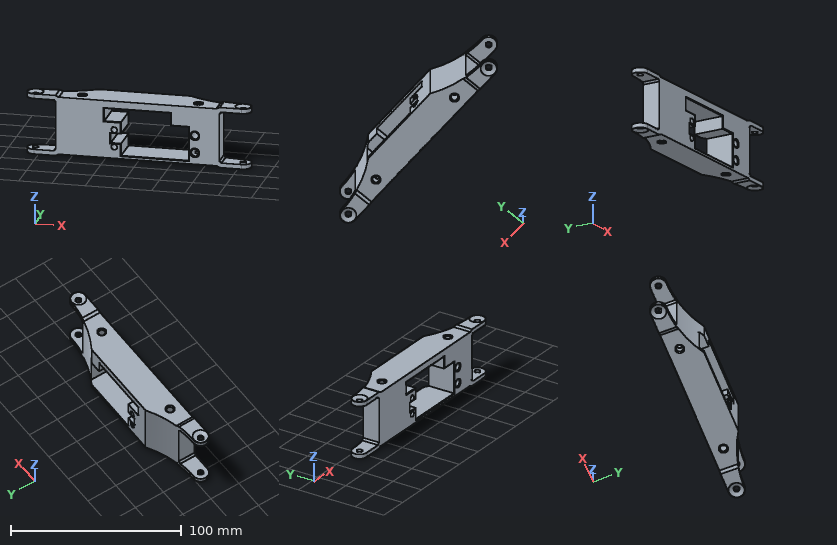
import cadquery as cq
import math

length = 135.0
depth = 20.0
height = 37.3
lug_radius = 5.0
lug_x = length / 2 - lug_radius
back_flat_half_length = 27.5

body_height = 35.4
lug_thickness = 3.0
gap_half_length = 49.3
gap_chamfer = 1.2
ramp_start = 49.4
ramp_end = 47.4

lug_hole_diameter = 3.5
lug_sink_diameter = 9.5
lug_sink_depth = 1.4

window_left = -20.1
window_right = 30.6
window_top = 12.8
window_bottom = -15.7
window_step_z = 5.0
window_upper_right = 20.0
tab_edge_x = -10.0
notch_left = -16.2
notch_top = -2.3
notch_bottom = -8.2
window_chamfer = 0.4

hole_rows = (0.0, -10.5)
through_hole_x = -14.0
through_hole_diameter = 3.5
blind_hole_x = 34.4
blind_hole_diameter = 4.5
blind_hole_depth = 10.8

edge_hole_x = 35.0
edge_hole_y = 7.5
edge_hole_diameter = 4.0
edge_hole_depth = 8.1

hole_mouth_diameter = 5.5


def plan_solid():
    """Full-height plan outline: rounded lugs and concave shoulders tangent to the lugs."""
    lug_top = 2 * lug_radius
    run = lug_x - back_flat_half_length
    rise = depth - lug_top
    shoulder_radius = (run**2 + rise**2) / (2 * rise)
    half_angle = math.asin(run / shoulder_radius) / 2
    mid_x = lug_x - shoulder_radius * math.sin(half_angle)
    mid_y = lug_top + shoulder_radius * (1 - math.cos(half_angle))
    return (
        cq.Workplane("XY")
        .workplane(offset=-height / 2)
        .moveTo(-lug_x, 0)
        .lineTo(lug_x, 0)
        .threePointArc((length / 2, lug_radius), (lug_x, lug_top))
        .threePointArc((mid_x, mid_y), (back_flat_half_length, depth))
        .lineTo(-back_flat_half_length, depth)
        .threePointArc((-mid_x, mid_y), (-lug_x, lug_top))
        .threePointArc((-length / 2, lug_radius), (-lug_x, 0))
        .close()
        .extrude(height)
    )


def along_y(points):
    """Prism from an XZ outline, running back from the front face through the full depth."""
    return cq.Workplane("XZ").polyline(points).close().extrude(-depth)


def end_gap(side):
    """Space between the two lugs at one end, with chamfered inner corners."""
    half_gap = height / 2 - lug_thickness
    inner = gap_half_length
    points = [
        (length, half_gap),
        (inner + gap_chamfer, half_gap),
        (inner, half_gap - gap_chamfer),
        (inner, gap_chamfer - half_gap),
        (inner + gap_chamfer, -half_gap),
        (length, -half_gap),
    ]
    return along_y([(side * x, z) for x, z in points])


def face_relief(side):
    """Shallow cut lowering the body face between the ramps (side: +1 upper, -1 lower)."""
    outer = side * height / 2
    inner = side * body_height / 2
    return along_y([(-ramp_start, outer), (-ramp_end, inner), (ramp_end, inner), (ramp_start, outer)])


def window():
    """Stepped opening with a notch, chamfered where it meets the front face."""
    opening = along_y([
        (window_left, window_top),
        (window_upper_right, window_top),
        (window_upper_right, window_step_z),
        (window_right, window_step_z),
        (window_right, window_bottom),
        (tab_edge_x, window_bottom),
        (tab_edge_x, notch_bottom),
        (notch_left, notch_bottom),
        (notch_left, notch_top),
        (tab_edge_x, notch_top),
        (tab_edge_x, window_step_z),
        (window_left, window_step_z),
    ])
    flare = (
        opening.faces("<Y").wires().toPending()
        .workplane(origin=(0, 0, 0))
        .offset2D(window_chamfer, "intersection")
        .extrude(-window_chamfer, taper=45)
    )
    return opening.union(flare)


def chamfered_hole(point, direction, diameter, hole_depth):
    """Blind hole with a 45 degree mouth."""
    start = cq.Vector(*point)
    axis = cq.Vector(*direction)
    mouth_depth = (hole_mouth_diameter - diameter) / 2
    bore = cq.Solid.makeCylinder(diameter / 2, hole_depth, start, axis)
    mouth = cq.Solid.makeCone(hole_mouth_diameter / 2, diameter / 2, mouth_depth, start, axis)
    return cq.Workplane(obj=bore).union(cq.Workplane(obj=mouth))


def countersunk_lug_hole(x, side):
    """Through hole in one lug with a shallow conical countersink (side: +1 upper, -1 lower)."""
    outer_center = cq.Vector(x, lug_radius, side * height / 2)
    inward = cq.Vector(0, 0, -side)
    radius = lug_hole_diameter / 2
    bore = cq.Solid.makeCylinder(radius, lug_thickness, outer_center, inward)
    sink = cq.Solid.makeCone(lug_sink_diameter / 2, radius, lug_sink_depth, outer_center, inward)
    return cq.Workplane(obj=bore).union(cq.Workplane(obj=sink))


result = plan_solid()

for side in (1, -1):
    result = result.cut(end_gap(side)).cut(face_relief(side))

result = result.cut(window())

for z in hole_rows:
    through_hole = cq.Solid.makeCylinder(
        through_hole_diameter / 2, depth, cq.Vector(through_hole_x, 0, z), cq.Vector(0, 1, 0)
    )
    blind_hole = chamfered_hole((blind_hole_x, 0, z), (0, 1, 0), blind_hole_diameter, blind_hole_depth)
    result = result.cut(cq.Workplane(obj=through_hole)).cut(blind_hole)

for x in (-edge_hole_x, edge_hole_x):
    for side in (1, -1):
        mouth_center = (x, edge_hole_y, side * body_height / 2)
        edge_hole = chamfered_hole(mouth_center, (0, 0, -side), edge_hole_diameter, edge_hole_depth)
        result = result.cut(edge_hole)

for x in (-lug_x, lug_x):
    for side in (1, -1):
        result = result.cut(countersunk_lug_hole(x, side))